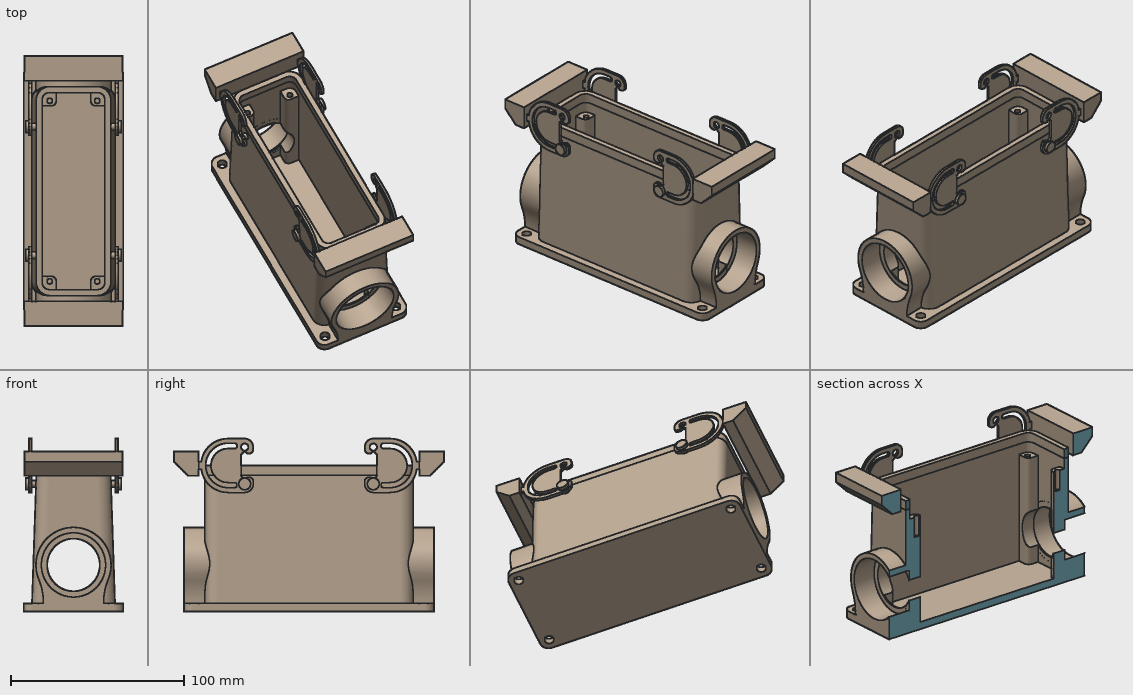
import cadquery as cq
import math

FLANGE_LENGTH = 144.5
FLANGE_WIDTH = 57.5
FLANGE_THICKNESS = 4.8
FLANGE_CORNER_RADIUS = 5.3
HOUSING_HEIGHT = 84.4
RIM_LENGTH = 120.6
RIM_WIDTH = 43.0
RIM_BAND_HEIGHT = 5.8
SHELL_FOOT_WIDTH = 48.0
SHELL_CORNER_RADIUS = 7.6
WALL = 3.5
BAND_BOTTOM = HOUSING_HEIGHT - RIM_BAND_HEIGHT

MOUNTING_HOLE_DIAMETER = 5.3
MOUNTING_HOLE_INSET = 6.0

ENTRY_HEIGHT = 27.0
ENTRY_RADIUS = 21.7
ENTRY_COUNTERBORE_RADIUS = 18.5
ENTRY_COUNTERBORE_DEPTH = 14.7
ENTRY_BORE_RADIUS = 15.1
ENTRY_FOOT_WIDTH = 34.6

POST_WIDTH = 8.1
POST_DEPTH = 7.6
POST_TOP = 72.0
POST_CORNER_RADIUS = 2.8
SCREW_HOLE_DIAMETER = 3.1
SCREW_HOLE_DEPTH = 12.5
SCREW_HOLE_X = 13.7
SCREW_HOLE_Y = 52.1

PLATE_INNER_X = 24.2
PLATE_THICKNESS = 1.5
PLATE_RADIUS = 15.6
PLATE_CENTRE_Y = 46.8
PLATE_EDGE_Y = 39.2
PIVOT_Y = 37.1
HOOK_RADIUS = 5.0
PIVOT_OFFSET = PLATE_RADIUS - HOOK_RADIUS
PIVOT_RADIUS = 2.0
HOOK_TIP_RADIUS = 2.3
HOOK_TIP_INWARD = 2.7
HOOK_TIP_DROP = 1.4
HOOK_WEB = 0.3
SLOT_OUTER_RADIUS = 12.8
SLOT_INNER_RADIUS = 9.8
SLOT_END_Y = 43.0

GRIP_OUTER_Y = 78.0
GRIP_INNER_Y = 63.6
GRIP_WIDTH = 56.6
GRIP_TOP = 92.5
GRIP_HEIGHT = 14.0
GRIP_CHAMFER = 8.1
NECK_HEIGHT = 4.4

PIN_HEAD_RADIUS = 3.5
PIN_HEAD_THICKNESS = 1.9
PIN_ROOT_X = RIM_WIDTH / 2 - WALL / 2

SIDES = (-1, 1)


def block(x_range, y_range, z_range):
    """Box spanning the given coordinate ranges."""
    size = [high - low for low, high in (x_range, y_range, z_range)]
    corner = cq.Vector(x_range[0], y_range[0], z_range[0])
    return cq.Workplane(cq.Solid.makeBox(*size, corner))


def tapered_shell():
    """Solid body above the flange whose long sides lean inward up to the rim frame."""
    half_foot = SHELL_FOOT_WIDTH / 2
    half_top = RIM_WIDTH / 2
    return (
        cq.Workplane("XZ")
        .polyline(
            [
                (-half_foot, FLANGE_THICKNESS),
                (half_foot, FLANGE_THICKNESS),
                (half_top, BAND_BOTTOM),
                (-half_top, BAND_BOTTOM),
            ]
        )
        .close()
        .extrude(RIM_LENGTH / 2, both=True)
        .edges("not(#Z or |Y)")
        .fillet(SHELL_CORNER_RADIUS)
    )


def shell_cavity():
    """Upright cavity from the top of the flange to the rim frame, leaving the screw posts."""
    cavity = (
        cq.Workplane("XY", origin=(0, 0, FLANGE_THICKNESS))
        .rect(RIM_WIDTH - 2 * WALL, RIM_LENGTH - 2 * WALL)
        .extrude(BAND_BOTTOM - FLANGE_THICKNESS)
        .edges("|Z")
        .fillet(SHELL_CORNER_RADIUS - WALL)
    )
    for side_x in SIDES:
        for side_y in SIDES:
            cavity = cavity.cut(screw_post(side_x, side_y))
    return cavity


def flange():
    """Base plate with rounded corners and a mounting hole in each."""
    plate = (
        cq.Workplane("XY")
        .rect(FLANGE_WIDTH, FLANGE_LENGTH)
        .extrude(FLANGE_THICKNESS)
        .edges("|Z")
        .fillet(FLANGE_CORNER_RADIUS)
    )
    hole_spacing_x = FLANGE_WIDTH - 2 * MOUNTING_HOLE_INSET
    hole_spacing_y = FLANGE_LENGTH - 2 * MOUNTING_HOLE_INSET
    return (
        plate.faces(">Z")
        .workplane()
        .rect(hole_spacing_x, hole_spacing_y, forConstruction=True)
        .vertices()
        .hole(MOUNTING_HOLE_DIAMETER)
    )


def cable_entry_bosses():
    """Round bosses at both ends, each blended by hollow flanks into a narrower foot."""
    half_foot = ENTRY_FOOT_WIDTH / 2
    flank_z = FLANGE_THICKNESS
    rise = ENTRY_HEIGHT - flank_z
    flank_radius = (half_foot**2 + rise**2 - ENTRY_RADIUS**2) / (2 * (ENTRY_RADIUS - half_foot))
    flank_x = half_foot + flank_radius
    blend_angle = math.atan2(rise, flank_x)
    blend_x = ENTRY_RADIUS * math.cos(blend_angle)
    blend_z = ENTRY_HEIGHT - ENTRY_RADIUS * math.sin(blend_angle)
    middle_x = flank_x - flank_radius * math.cos(blend_angle / 2)
    middle_z = flank_z + flank_radius * math.sin(blend_angle / 2)
    profile = (
        cq.Workplane("XZ")
        .moveTo(-half_foot, 0)
        .lineTo(half_foot, 0)
        .lineTo(half_foot, flank_z)
        .threePointArc((middle_x, middle_z), (blend_x, blend_z))
        .threePointArc((0, ENTRY_HEIGHT + ENTRY_RADIUS), (-blend_x, blend_z))
        .threePointArc((-middle_x, middle_z), (-half_foot, flank_z))
        .close()
    )
    return profile.extrude(FLANGE_LENGTH / 2, both=True)


def cable_entry_bores():
    """Through bore along Y with a wide counterbore at each end."""
    bore = (
        cq.Workplane("XZ")
        .center(0, ENTRY_HEIGHT)
        .circle(ENTRY_BORE_RADIUS)
        .extrude(FLANGE_LENGTH / 2, both=True)
    )
    for side in SIDES:
        bore = bore.union(
            cq.Workplane("XZ", origin=(0, side * FLANGE_LENGTH / 2, ENTRY_HEIGHT))
            .circle(ENTRY_COUNTERBORE_RADIUS)
            .extrude(side * ENTRY_COUNTERBORE_DEPTH)
        )
    return bore


def screw_post(side_x, side_y):
    """Corner post, reaching into both walls, with one rounded corner and a blind screw hole."""
    inner_x = RIM_WIDTH / 2 - WALL - POST_WIDTH
    inner_y = RIM_LENGTH / 2 - WALL - POST_DEPTH
    x_range = sorted((side_x * inner_x, side_x * (SHELL_FOOT_WIDTH - WALL) / 2))
    y_range = sorted((side_y * inner_y, side_y * (RIM_LENGTH - WALL) / 2))
    free_corner = f"{'<' if side_x > 0 else '>'}X and {'<' if side_y > 0 else '>'}Y"
    post = block(x_range, y_range, (FLANGE_THICKNESS, POST_TOP))
    post = post.edges("|Z").edges(free_corner).fillet(POST_CORNER_RADIUS)
    hole = (
        cq.Workplane("XY", origin=(side_x * SCREW_HOLE_X, side_y * SCREW_HOLE_Y, POST_TOP))
        .circle(SCREW_HOLE_DIAMETER / 2)
        .extrude(-SCREW_HOLE_DEPTH)
    )
    return post.cut(hole)


def pivot_pin(side_x, side_y):
    """Headed pin standing out from a long wall of the housing."""
    head_x = PLATE_INNER_X + PLATE_THICKNESS
    pivot = (side_y * PIVOT_Y, HOUSING_HEIGHT - PIVOT_OFFSET)
    shaft = (
        cq.Workplane("YZ", origin=(side_x * PIN_ROOT_X, *pivot))
        .circle(PIVOT_RADIUS)
        .extrude(side_x * (head_x - PIN_ROOT_X))
    )
    head = (
        cq.Workplane("YZ", origin=(side_x * head_x, *pivot))
        .circle(PIN_HEAD_RADIUS)
        .extrude(side_x * PIN_HEAD_THICKNESS)
    )
    return shaft.union(head)


def make_housing():
    """Housing in one piece with its pivot pins and both levers."""
    body = flange().union(tapered_shell()).union(cable_entry_bosses())
    body = body.cut(shell_cavity()).cut(cable_entry_bores())
    for side_y in SIDES:
        for side_x in SIDES:
            body = body.union(pivot_pin(side_x, side_y))
        body = body.union(lever(side_y))
    return body


def make_rim_frame():
    """Upright frame on the open top of the housing: a rectangular section swept round the wall."""
    half_width = RIM_WIDTH / 2
    half_length = RIM_LENGTH / 2
    flat_x = half_width - SHELL_CORNER_RADIUS
    flat_y = half_length - SHELL_CORNER_RADIUS
    path = (
        cq.Workplane("XY", origin=(0, 0, BAND_BOTTOM))
        .moveTo(half_width, -flat_y)
        .lineTo(half_width, flat_y)
        .radiusArc((flat_x, half_length), -SHELL_CORNER_RADIUS)
        .lineTo(-flat_x, half_length)
        .radiusArc((-half_width, flat_y), -SHELL_CORNER_RADIUS)
        .lineTo(-half_width, -flat_y)
        .radiusArc((-flat_x, -half_length), -SHELL_CORNER_RADIUS)
        .lineTo(flat_x, -half_length)
        .radiusArc((half_width, -flat_y), -SHELL_CORNER_RADIUS)
        .close()
    )
    section = cq.Workplane("XZ", origin=(half_width, -flat_y, BAND_BOTTOM)).rect(
        -WALL, RIM_BAND_HEIGHT, centered=False
    )
    return section.sweep(path, clean=False)


def plate_disc(y, z, radius):
    """Disc of plate thickness at y and at z above the rim, starting from x = 0."""
    return cq.Workplane("YZ", origin=(0, y, HOUSING_HEIGHT + z)).circle(radius).extrude(PLATE_THICKNESS)


def plate_block(y_range, z_low, z_high):
    """Rectangle of plate thickness, with z measured from the rim."""
    return block((0, PLATE_THICKNESS), y_range, (HOUSING_HEIGHT + z_low, HOUSING_HEIGHT + z_high))


def d_shape(radius, end_y):
    """Half disc with its straight sides carried on to end_y."""
    disc = plate_disc(PLATE_CENTRE_Y, 0, radius)
    return disc.union(plate_block((end_y, PLATE_CENTRE_Y), -radius, radius)).cut(
        plate_block((0, end_y), -radius, radius)
    )


def hook_throat():
    """Open region between the two hooks, with a V running up to each pivot hole."""
    apex = PIVOT_OFFSET - PIVOT_RADIUS - HOOK_WEB
    tip_bottom = PIVOT_OFFSET - HOOK_TIP_DROP - HOOK_TIP_RADIUS
    flank = PLATE_EDGE_Y - PIVOT_Y
    end_y = PIVOT_Y - 2 * HOOK_RADIUS
    upper = [
        (PLATE_EDGE_Y, apex - flank),
        (PIVOT_Y, apex),
        (PIVOT_Y - (apex - tip_bottom), tip_bottom),
        (end_y, tip_bottom),
    ]
    lower = [(y, -z) for y, z in reversed(upper)]
    return (
        cq.Workplane("YZ", origin=(0, 0, HOUSING_HEIGHT))
        .polyline(upper + lower)
        .close()
        .extrude(PLATE_THICKNESS)
    )


def curved_slot():
    """C-shaped slot following the round edge of the plate, with rounded ends."""
    slot = d_shape(SLOT_OUTER_RADIUS, SLOT_END_Y).cut(d_shape(SLOT_INNER_RADIUS, SLOT_END_Y))
    middle_radius = (SLOT_OUTER_RADIUS + SLOT_INNER_RADIUS) / 2
    for side in SIDES:
        end = plate_disc(SLOT_END_Y, side * middle_radius, (SLOT_OUTER_RADIUS - SLOT_INNER_RADIUS) / 2)
        slot = slot.union(end)
    return slot


def lever_plate():
    """Side plate at the +Y end with hooks above and below, starting from x = 0."""
    plate = d_shape(PLATE_RADIUS, PIVOT_Y)
    for side in SIDES:
        plate = plate.union(plate_disc(PIVOT_Y, side * PIVOT_OFFSET, HOOK_RADIUS))
        tip_z = side * (PIVOT_OFFSET - HOOK_TIP_DROP)
        plate = plate.union(plate_disc(PIVOT_Y - HOOK_TIP_INWARD, tip_z, HOOK_TIP_RADIUS))
    plate = plate.cut(hook_throat()).cut(curved_slot())
    for side in SIDES:
        plate = plate.cut(plate_disc(PIVOT_Y, side * PIVOT_OFFSET, PIVOT_RADIUS))
    neck_root_y = PLATE_CENTRE_Y + (PLATE_RADIUS + SLOT_OUTER_RADIUS) / 2
    neck = plate_block((neck_root_y, GRIP_INNER_Y), -NECK_HEIGHT / 2, NECK_HEIGHT / 2)
    return plate.union(neck)


def grip_bar():
    """Bar across the +Y end with its lower outer edge bevelled."""
    return (
        block(
            (-GRIP_WIDTH / 2, GRIP_WIDTH / 2),
            (GRIP_INNER_Y, GRIP_OUTER_Y),
            (GRIP_TOP - GRIP_HEIGHT, GRIP_TOP),
        )
        .edges(">Y and <Z")
        .chamfer(GRIP_CHAMFER)
    )


def lever(side_y):
    """Locking lever: a grip bar carried by two hooked side plates."""
    right_plate = lever_plate().translate((PLATE_INNER_X, 0, 0))
    whole = grip_bar().union(right_plate).union(right_plate.mirror("YZ"))
    return whole if side_y > 0 else whole.mirror("XZ")


housing = make_housing()
rim_frame = make_rim_frame()

result = cq.Compound.makeCompound([housing.val(), rim_frame.val()])